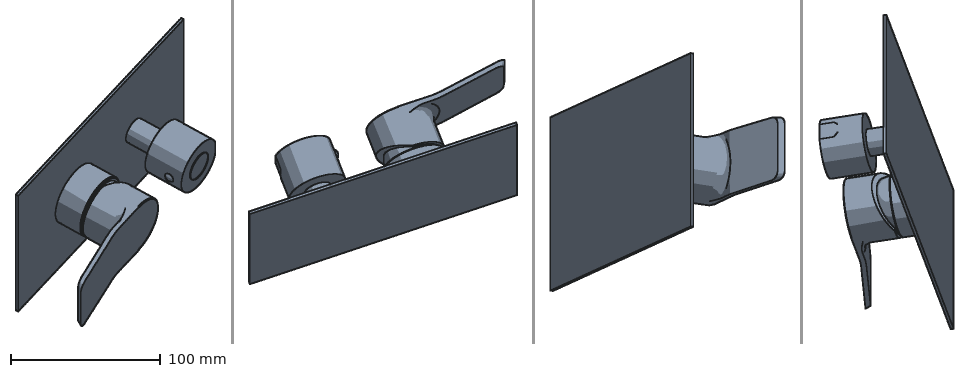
import cadquery as cq
import math


overall_length = 204.5

plate_thickness = 2.0
plate_length = 190.0
plate_height = 120.0
plate_top_y = 124.8

sleeve_radius = 22.5
sleeve_end_x = 23.1
sleeve_chamfer = 0.8
neck_radius = 19.8
neck_ball_x = 24.0

diverter_y = 67.5
stem_radius = 9.2
knob_radius = 20.0
knob_start_x = 25.8
knob_end_x = 55.5
button_radius = 10.2
button_end_x = 56.0
flat_depth = 1.0
flat_ramp_start_x = 41.5
flat_start_x = 45.6
stud_x = 45.5
stud_radius = 4.0
stud_height = 1.8

hub_radius = sleeve_radius
hub_start_x = 24.8
hub_end_x = 54.8
hub_rim_chamfer = 0.6
undercut_depth = 10.2

blade_thickness = 3.7
blade_back_x = hub_end_x - blade_thickness
blade_tip_half_height = 21.7
blade_corner_radius = 5.1
bend_y = -27.5
bend_radius = 53.2
tip_front_x = 64.0
tip_front_y = plate_top_y - overall_length
tip_slant = 2.5
tip_back_y = tip_front_y + tip_slant
flare_start_x = 45.0
flare_radius = blade_back_x - flare_start_x


def cylinder_along_x(radius, start_x, end_x, y=0.0):
    return cq.Workplane("YZ", origin=(start_x, y, 0)).circle(radius).extrude(end_x - start_x)


def make_plate():
    return cq.Workplane("XY").box(plate_thickness, plate_length, plate_height).translate(
        (plate_thickness / 2, plate_top_y - plate_length / 2, 0)
    )


def make_sleeve():
    sleeve = cylinder_along_x(sleeve_radius, plate_thickness, sleeve_end_x)
    return sleeve.faces(">X").chamfer(sleeve_chamfer)


def make_neck():
    """Short cylinder on the end of the sleeve that turns into half a ball."""
    collar = cylinder_along_x(neck_radius, sleeve_end_x, neck_ball_x)
    ball = cq.Workplane("XY").sphere(neck_radius).translate((neck_ball_x, 0, 0))
    ball_half = ball.intersect(cylinder_along_x(neck_radius, neck_ball_x, neck_ball_x + neck_radius))
    return collar.union(ball_half)


def make_diverter():
    stem = cylinder_along_x(stem_radius, plate_thickness, knob_start_x, diverter_y)
    knob = cylinder_along_x(knob_radius, knob_start_x, knob_end_x, diverter_y)
    button = cylinder_along_x(button_radius, knob_end_x, button_end_x, diverter_y)

    knob_top_y = diverter_y + knob_radius
    flat = (
        cq.Workplane("XY")
        .moveTo(flat_ramp_start_x, knob_top_y)
        .lineTo(flat_start_x, knob_top_y - flat_depth)
        .lineTo(knob_end_x, knob_top_y - flat_depth)
        .lineTo(knob_end_x, knob_top_y)
        .close()
        .extrude(knob_radius, both=True)
    )

    stud_y = diverter_y - knob_radius - stud_height + stud_radius
    stud = cq.Workplane("XY").sphere(stud_radius).translate((stud_x, stud_y, 0))
    return stem.union(knob.cut(flat)).union(button).union(stud)


def make_fixed_body():
    """Wall plate with the sleeve, the neck and the diverter as one body."""
    return make_plate().union(make_sleeve()).union(make_neck()).union(make_diverter())


def make_hub():
    """Round hub with its +Y half cut away at a slant next to the sleeve."""
    hub = cylinder_along_x(hub_radius, hub_start_x, hub_end_x)
    hub = hub.faces(">X").chamfer(hub_rim_chamfer)
    undercut = (
        cq.Workplane("XY")
        .moveTo(hub_start_x, 0)
        .lineTo(hub_start_x + undercut_depth, hub_radius)
        .lineTo(hub_start_x, hub_radius)
        .close()
        .extrude(hub_radius, both=True)
    )
    return hub.cut(undercut)


def make_blade_outline():
    """Tapered height outline of the blade, as a block running through along X."""
    return (
        cq.Workplane("YZ")
        .moveTo(0, hub_radius)
        .lineTo(tip_front_y, blade_tip_half_height)
        .lineTo(tip_front_y, -blade_tip_half_height)
        .lineTo(0, -hub_radius)
        .close()
        .extrude(tip_front_x)
    )


def make_blade():
    """Thin blade, bent outward, with a slanted tip and rounded tip corners."""
    bend_angle = math.atan2(tip_front_x - hub_end_x, bend_y - tip_front_y)
    back_bend_y = bend_y - blade_thickness * math.tan(bend_angle / 2)
    tip_back_x = blade_back_x + (back_bend_y - tip_back_y) * math.tan(bend_angle)
    blade = (
        cq.Workplane("XY")
        .moveTo(hub_end_x, 0)
        .lineTo(hub_end_x, bend_y)
        .lineTo(tip_front_x, tip_front_y)
        .lineTo(tip_back_x, tip_back_y)
        .lineTo(blade_back_x, back_bend_y)
        .lineTo(blade_back_x, 0)
        .close()
        .extrude(hub_radius, both=True)
    )

    blade = blade.edges(cq.selectors.NearestToPointSelector((blade_back_x, back_bend_y, 0)))
    blade = blade.fillet(bend_radius)
    blade = blade.edges(cq.selectors.NearestToPointSelector((hub_end_x, bend_y, 0)))
    blade = blade.fillet(bend_radius - blade_thickness)
    blade = blade.intersect(make_blade_outline())

    tip_middle_x = (tip_front_x + tip_back_x) / 2
    tip_middle_y = (tip_front_y + tip_back_y) / 2
    for side in (1, -1):
        corner = (tip_middle_x, tip_middle_y, side * blade_tip_half_height)
        blade = blade.edges(cq.selectors.NearestToPointSelector(corner)).fillet(blade_corner_radius)
    return blade


def make_flare():
    """Concave flare that blends the hub into the back of the blade."""
    flare_rim = hub_radius + flare_radius
    middle = flare_radius * math.sqrt(0.5)
    flare_end_x = blade_back_x + blade_thickness / 2
    profile = (
        cq.Workplane("XY")
        .moveTo(flare_start_x, 0)
        .lineTo(flare_start_x, hub_radius)
        .threePointArc((flare_start_x + middle, flare_rim - middle), (blade_back_x, flare_rim))
        .lineTo(flare_end_x, flare_rim)
        .lineTo(flare_end_x, 0)
        .close()
    )
    return profile.revolve(360, (0, 0, 0), (1, 0, 0)).intersect(make_blade_outline())


def make_handle():
    """Hub, blade and flare as one body, with a socket that fits the neck."""
    handle = make_hub().union(make_blade()).union(make_flare())
    return handle.cut(make_neck())


fixed_body = make_fixed_body()
handle = make_handle()
result = cq.Compound.makeCompound([fixed_body.solids().val(), handle.solids().val()])